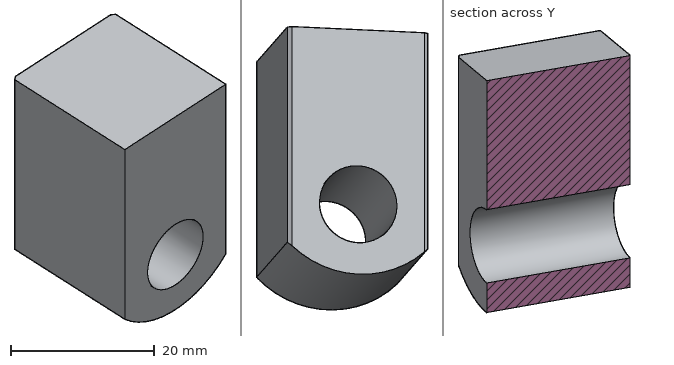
import cadquery as cq

length = 22.0
width = 20.0
height = 35.0

bottom_radius = 14.0
hole_diameter = 11.0
hole_height = 10.0

bevel_along_x = 0.42
bevel_along_y = 0.55

half_width = width / 2
arc_rise = bottom_radius - (bottom_radius**2 - half_width**2) ** 0.5


def rounded_block():
    """Upright block whose underside is an arc across its width."""
    return (
        cq.Workplane("YZ")
        .moveTo(-half_width, height)
        .lineTo(-half_width, arc_rise)
        .threePointArc((0, 0), (half_width, arc_rise))
        .lineTo(half_width, height)
        .close()
        .extrude(length)
    )


def edge_bevel(side):
    """Triangular prism removed from the -X edge at side -1 (-Y) or +1 (+Y)."""
    edge_y = side * half_width
    return (
        cq.Workplane("XY")
        .moveTo(0, edge_y)
        .lineTo(bevel_along_x, edge_y)
        .lineTo(0, edge_y - side * bevel_along_y)
        .close()
        .extrude(height)
    )


def cross_hole():
    """Round hole through the full length."""
    return (
        cq.Workplane("YZ")
        .center(0, hole_height)
        .circle(hole_diameter / 2)
        .extrude(length)
    )


result = rounded_block().cut(cross_hole())
for side in (-1, 1):
    result = result.cut(edge_bevel(side))